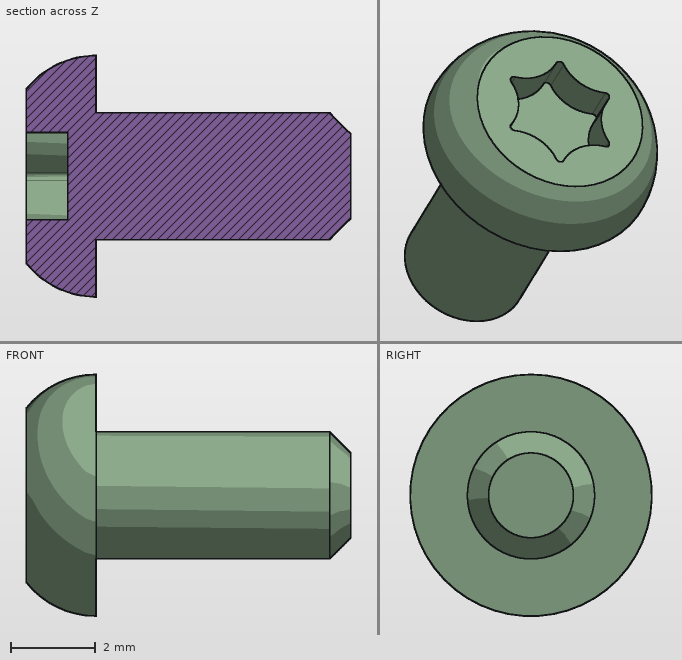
import cadquery as cq
import math

head_height = 1.65
head_radius = 2.85
head_flat_radius = 2.05
shank_length = 6.0
shank_radius = 1.5
tip_chamfer = 0.5

lobe_count = 6
recess_outer_radius = 1.4
recess_inner_radius = 1.025
lobe_tip_radius = 0.1
recess_depth = 0.975


def polar(radius, angle):
    """Point (Y, Z) at an angle in degrees measured from +Z towards +Y."""
    return (radius * math.sin(math.radians(angle)), radius * math.cos(math.radians(angle)))


def make_body():
    """Revolve the half outline of head and shank about the X axis."""
    dome_drop = head_radius - head_flat_radius
    dome_radius = (head_height**2 + dome_drop**2) / (2 * dome_drop)
    mid_angle = math.asin(head_height / dome_radius) / 2
    dome_mid = (
        head_height - dome_radius * math.sin(mid_angle),
        head_radius - dome_radius * (1 - math.cos(mid_angle)),
    )
    total_length = head_height + shank_length
    outline = (
        cq.Workplane("XZ")
        .lineTo(0, head_flat_radius)
        .threePointArc(dome_mid, (head_height, head_radius))
        .lineTo(head_height, shank_radius)
        .lineTo(total_length - tip_chamfer, shank_radius)
        .lineTo(total_length, shank_radius - tip_chamfer)
        .lineTo(total_length, 0)
        .close()
    )
    return outline.revolve(360, (0, 0, 0), (1, 0, 0))


def make_recess():
    """Star prism whose rounded tips blend tangentially into inward-bulging flanks."""
    pitch = 360 / lobe_count
    cos_half_pitch = math.cos(math.radians(pitch / 2))
    sin_half_pitch = math.sin(math.radians(pitch / 2))
    tip_center = recess_outer_radius - lobe_tip_radius

    flank_radius = (
        recess_inner_radius**2
        + tip_center**2
        - 2 * recess_inner_radius * tip_center * cos_half_pitch
        - lobe_tip_radius**2
    ) / (2 * (tip_center * cos_half_pitch - recess_inner_radius + lobe_tip_radius))
    flank_center = recess_inner_radius + flank_radius

    share = lobe_tip_radius / (flank_radius + lobe_tip_radius)
    touch_y = share * flank_center * sin_half_pitch
    touch_z = tip_center + share * (flank_center * cos_half_pitch - tip_center)
    touch_radius = math.hypot(touch_y, touch_z)
    touch_angle = math.degrees(math.atan2(touch_y, touch_z))

    star = cq.Workplane("YZ").moveTo(*polar(touch_radius, -touch_angle))
    for lobe in range(lobe_count):
        lobe_angle = lobe * pitch
        star = star.threePointArc(
            polar(recess_outer_radius, lobe_angle),
            polar(touch_radius, lobe_angle + touch_angle),
        )
        star = star.threePointArc(
            polar(recess_inner_radius, lobe_angle + pitch / 2),
            polar(touch_radius, lobe_angle + pitch - touch_angle),
        )
    return star.close().extrude(recess_depth)


result = make_body().cut(make_recess())